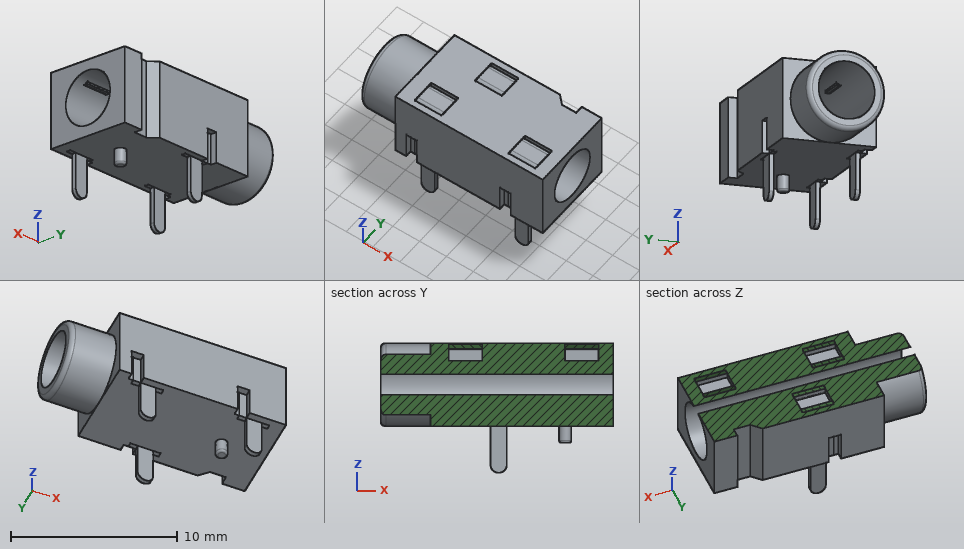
import cadquery as cq

body_length = 11.0
body_width = 6.0
body_height = 5.01
sleeve_length = 3.0
sleeve_diameter = 5.0
sleeve_rim_fillet = 0.3
bore_diameter = 3.6
total_length = sleeve_length + body_length
axis_height = body_height / 2

peg_x = 11.1
peg_diameter = 0.75
peg_length = 1.0
peg_fillet = 0.15

notch_start_x = 10.88
notch_floor_x = 11.45
notch_end_x = 12.5
notch_depth = notch_floor_x - notch_start_x

contact_width = 2.0
strip_thickness = 0.3
bend_radius = 0.35
contact_outer_y = 2.55
contact_inner_y = 0.85
contact_recess = 0.06
contact_top_z = body_height - contact_recess
short_leg_end_z = 3.95
pin_width = 1.0
pin_length = 2.8
pin_inset = (contact_width - pin_width) / 2

slot_lead = 0.3
slot_height = 2.0

contact_places = [(4.1, -1), (11.1, -1), (6.1, 1)]


def box(x_range, y_range, z_range):
    """Block spanning the given (low, high) ranges."""
    spans = [high - low for low, high in (x_range, y_range, z_range)]
    corner = (x_range[0], y_range[0], z_range[0])
    return cq.Workplane("XY").box(*spans, centered=False).translate(corner)


def place(shape, front_x, side):
    """Move a shape made at x = 0 on the +Y side to its place in the housing."""
    if side < 0:
        shape = shape.mirror("XZ")
    return shape.translate((front_x, 0, 0))


def make_contact():
    """Strip bent into an inverted U, with a round-ended pin below its long leg."""
    outer_face = box((0, contact_width), (contact_inner_y, contact_outer_y), (0, contact_top_z))
    outer_face = outer_face.edges("|X and >Z").fillet(bend_radius)
    inner_face = box(
        (0, contact_width),
        (contact_inner_y + strip_thickness, contact_outer_y - strip_thickness),
        (0, contact_top_z - strip_thickness),
    )
    inner_face = inner_face.edges("|X and >Z").fillet(bend_radius - strip_thickness)
    below_short_leg = box(
        (0, contact_width),
        (contact_inner_y, contact_inner_y + strip_thickness),
        (0, short_leg_end_z),
    )
    strip = outer_face.cut(inner_face).cut(below_short_leg)

    shank_end_z = pin_width / 2 - pin_length
    pin = (
        cq.Workplane("XZ", origin=(contact_width / 2, contact_outer_y, 0))
        .moveTo(-pin_width / 2, 0)
        .lineTo(-pin_width / 2, shank_end_z)
        .threePointArc((0, -pin_length), (pin_width / 2, shank_end_z))
        .lineTo(pin_width / 2, 0)
        .close()
        .extrude(strip_thickness)
    )
    return strip.union(pin)


def make_contact_cavity():
    """Window in the top, channel for the long leg, and slot in the side wall."""
    window = box(
        (0, contact_width),
        (contact_inner_y, contact_outer_y),
        (short_leg_end_z, body_height),
    )
    leg_channel = box(
        (0, contact_width),
        (contact_outer_y - strip_thickness, contact_outer_y),
        (0, body_height),
    )
    side_slot = box((-slot_lead, pin_inset), (contact_outer_y, body_width / 2), (0, slot_height))
    return window.union(leg_channel).union(side_slot)


def make_notch():
    """Full-height notch in the +Y side."""
    side_y = body_width / 2
    return (
        cq.Workplane("XY")
        .moveTo(notch_start_x, side_y)
        .lineTo(notch_floor_x, side_y - notch_depth)
        .lineTo(notch_end_x, side_y - notch_depth)
        .lineTo(notch_end_x, side_y)
        .close()
        .extrude(body_height)
    )


def make_housing():
    """Body with its sleeve and locating peg, bored through, with cavities for the contacts."""
    body = box((sleeve_length, total_length), (-body_width / 2, body_width / 2), (0, body_height))
    sleeve = (
        cq.Workplane("YZ")
        .center(0, axis_height)
        .circle(sleeve_diameter / 2)
        .extrude(sleeve_length)
        .faces("<X")
        .edges()
        .fillet(sleeve_rim_fillet)
    )
    peg = (
        cq.Workplane("XY")
        .center(peg_x, 0)
        .circle(peg_diameter / 2)
        .extrude(-peg_length)
        .faces("<Z")
        .edges()
        .fillet(peg_fillet)
    )
    bore = cq.Workplane("YZ").center(0, axis_height).circle(bore_diameter / 2).extrude(total_length)

    shell = body.union(sleeve).union(peg).cut(bore).cut(make_notch())
    for front_x, side in contact_places:
        shell = shell.cut(place(make_contact_cavity(), front_x, side))
    return shell


housing = make_housing()
contacts = [place(make_contact(), front_x, side) for front_x, side in contact_places]

result = cq.Compound.makeCompound([housing.val(), *[contact.val() for contact in contacts]])